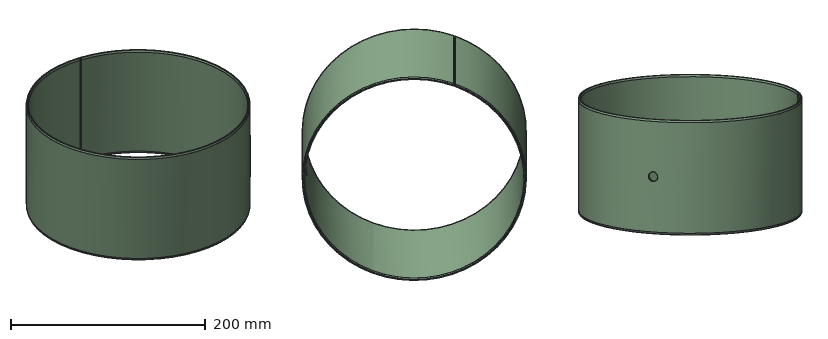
import cadquery as cq
import math

outer_diameter = 230.0
height = 120.0
wall = 2.5
rim_bevel_height = 2.0
rim_bevel_depth = 0.7
slit_width = 1.8
hole_diameter = 10.0
hole_angle = 59.0

outer_radius = outer_diameter / 2
inner_radius = outer_radius - wall


def ring():
    """Thin tube whose inner and outer edges are bevelled at both ends."""
    rim_inner_radius = inner_radius + rim_bevel_depth
    rim_outer_radius = outer_radius - rim_bevel_depth
    upper_bevel_start = height - rim_bevel_height
    profile = [
        (rim_inner_radius, 0),
        (rim_outer_radius, 0),
        (outer_radius, rim_bevel_height),
        (outer_radius, upper_bevel_start),
        (rim_outer_radius, height),
        (rim_inner_radius, height),
        (inner_radius, upper_bevel_start),
        (inner_radius, rim_bevel_height),
    ]
    return cq.Workplane("XZ").polyline(profile).close().revolve(360, (0, 0, 0), (0, 1, 0))


def slit():
    """Full-height cut that opens the ring on its -X side, with one face on the XZ plane."""
    blank = cq.Workplane("XY").box(outer_radius, slit_width, height, centered=(True, False, False))
    return blank.translate((-outer_radius, 0, 0))


def wall_hole():
    """Radial hole through the wall at mid-height."""
    angle = math.radians(hole_angle)
    direction = cq.Vector(math.cos(angle), math.sin(angle), 0)
    centre = cq.Vector(0, 0, height / 2)
    return cq.Workplane(cq.Solid.makeCylinder(hole_diameter / 2, outer_diameter, centre, direction))


result = ring().cut(slit()).cut(wall_hole())